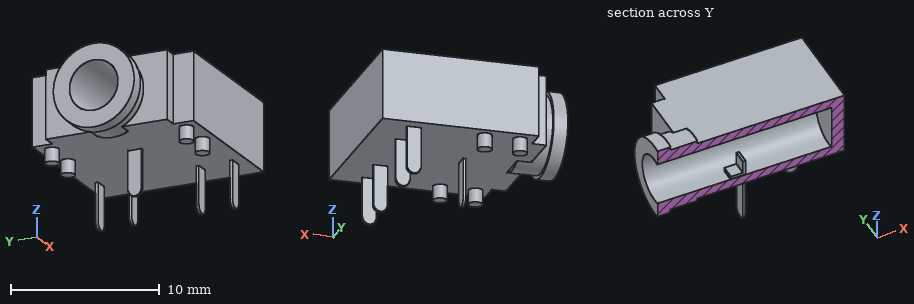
import cadquery as cq


TOTAL_LENGTH = 14.0
HOUSING_WIDTH = 12.0
HOUSING_HEIGHT = 5.0
BLOCK_FRONT_X = 3.0
NOSE_WIDTH = 9.0
NOSE_FRONT_X = 2.0

AXIS_Z = HOUSING_HEIGHT / 2
COLLAR_DIAMETER = 6.0
COLLAR_LENGTH = 1.0
NECK_DIAMETER = 5.5
BORE_DIAMETER = 3.6
BACK_WALL = 1.0
BORE_DEPTH = TOTAL_LENGTH - BACK_WALL

PEG_DIAMETER = 1.0
PEG_LENGTH = 1.0
OUTER_Y = 5.0
FRONT_PEG_X = 4.0
REAR_PEG_X = 6.5

BLADE_WIDTH = 1.0
BLADE_THICKNESS = 0.2
BLADE_LENGTH = 3.3
SIDE_BLADE_X = 11.5
INNER_Y = 2.5

CONTACT_X = REAR_PEG_X
CONTACT_TOP_Z = 2.0
FOOT_TOP_Z = 1.0
FOOT_LENGTH = 1.0
FOOT_BOTTOM_Z = AXIS_Z - BORE_DIAMETER / 2


def box_between(x_start, x_end, width, z_start, z_end):
    """Box centred on Y = 0 between the given X and Z limits."""
    return cq.Workplane("XY").box(
        x_end - x_start, width, z_end - z_start, centered=(False, True, False)
    ).translate((x_start, 0, z_start))


def axial_cylinder(diameter, x_start, x_end):
    """Cylinder on the plug axis."""
    return (
        cq.Workplane("YZ", origin=(x_start, 0, AXIS_Z))
        .circle(diameter / 2)
        .extrude(x_end - x_start)
    )


def make_blade(plane, x, y, top_z):
    """Upright flat blade with a fully rounded lower end, centred on x and y."""
    half_width = BLADE_WIDTH / 2
    round_start_z = half_width - BLADE_LENGTH
    return (
        cq.Workplane(plane)
        .moveTo(-half_width, top_z)
        .lineTo(-half_width, round_start_z)
        .threePointArc((0, -BLADE_LENGTH), (half_width, round_start_z))
        .lineTo(half_width, top_z)
        .close()
        .extrude(BLADE_THICKNESS / 2, both=True)
        .translate((x, y, 0))
    )


def make_contact():
    """Centre blade rising into the bore, with a foot on the bore floor."""
    blade = make_blade("YZ", CONTACT_X, 0, CONTACT_TOP_Z)
    foot = box_between(CONTACT_X - FOOT_LENGTH, CONTACT_X, BLADE_WIDTH, FOOT_BOTTOM_Z, FOOT_TOP_Z)
    return blade.union(foot)


def make_housing(contact):
    """Block, bushing, pegs and side blades, with a close-fitting recess for the contact."""
    housing = box_between(BLOCK_FRONT_X, TOTAL_LENGTH, HOUSING_WIDTH, 0, HOUSING_HEIGHT)
    nose = box_between(NOSE_FRONT_X, BLOCK_FRONT_X, NOSE_WIDTH, 0, HOUSING_HEIGHT)
    collar = axial_cylinder(COLLAR_DIAMETER, 0, COLLAR_LENGTH)
    neck = axial_cylinder(NECK_DIAMETER, COLLAR_LENGTH, BLOCK_FRONT_X)
    housing = housing.union(nose).union(neck).union(collar)

    pegs = (
        cq.Workplane("XY")
        .pushPoints([(x, y) for x in (FRONT_PEG_X, REAR_PEG_X) for y in (-OUTER_Y, OUTER_Y)])
        .circle(PEG_DIAMETER / 2)
        .extrude(-PEG_LENGTH)
    )
    housing = housing.union(pegs)

    for y in (-OUTER_Y, -INNER_Y, INNER_Y, OUTER_Y):
        housing = housing.union(make_blade("XZ", SIDE_BLADE_X, y, 0))

    bore = axial_cylinder(BORE_DIAMETER, 0, BORE_DEPTH)
    return housing.cut(bore).cut(contact)


contact = make_contact()
housing = make_housing(contact)

result = cq.Compound.makeCompound([housing.solids().val(), contact.solids().val()])